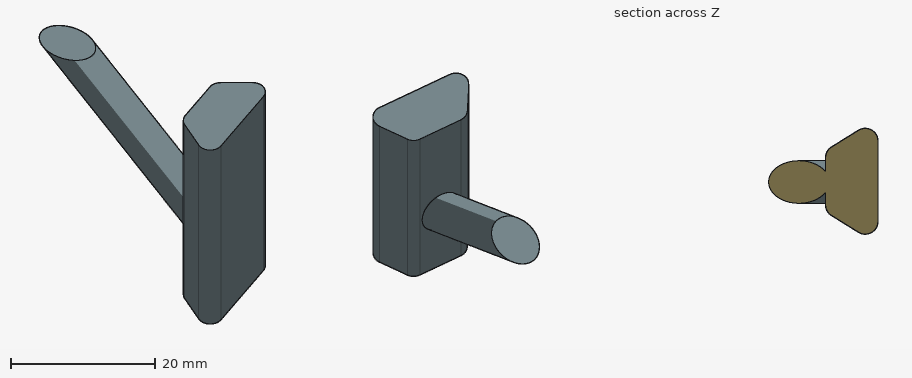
import cadquery as cq
import math

total_length = 32.72
total_height = 35.0
block_height = 34.8
block_thickness = 7.3
block_width = 14.75
corner_radius = 1.8
front_flat_width = 6.5
pin_diameter = 6.0
pin_center_y = -0.1
pin_angle = math.radians(45)

rear_center_y = block_width / 2 - corner_radius
front_center_y = front_flat_width / 2
side_angle = math.atan2(rear_center_y - front_center_y, block_thickness - 2 * corner_radius)
quarter_turn = math.pi / 2
rear_half_width = rear_center_y + corner_radius * math.tan((quarter_turn + side_angle) / 2)
front_half_width = front_center_y + corner_radius * math.tan((quarter_turn - side_angle) / 2)


def make_block():
    """Upright trapezoidal block with rounded vertical edges."""
    return (
        cq.Workplane("XY")
        .polyline([
            (0, -rear_half_width),
            (0, rear_half_width),
            (-block_thickness, front_half_width),
            (-block_thickness, -front_half_width),
        ])
        .close()
        .extrude(block_height)
        .edges("|Z")
        .fillet(corner_radius)
    )


def make_pin():
    """Inclined round pin, rooted inside the block and cut level at the top."""
    tip_half_length = pin_diameter / 2 / math.sin(pin_angle)
    tip_x = tip_half_length - total_length
    root_x = -block_thickness / 2
    root_z = total_height - (root_x - tip_x) * math.tan(pin_angle)
    root = cq.Vector(root_x, pin_center_y, root_z)
    axis = cq.Vector(-math.cos(pin_angle), 0, math.sin(pin_angle))
    pin_length = (root_x - tip_x) / math.cos(pin_angle) + pin_diameter
    pin = cq.Solid.makeCylinder(pin_diameter / 2, pin_length, root, axis)
    trim_size = 4 * total_length
    trim = cq.Workplane("XY").workplane(offset=total_height).rect(trim_size, trim_size).extrude(total_height)
    return cq.Workplane(obj=pin).cut(trim)


result = make_block().union(make_pin())